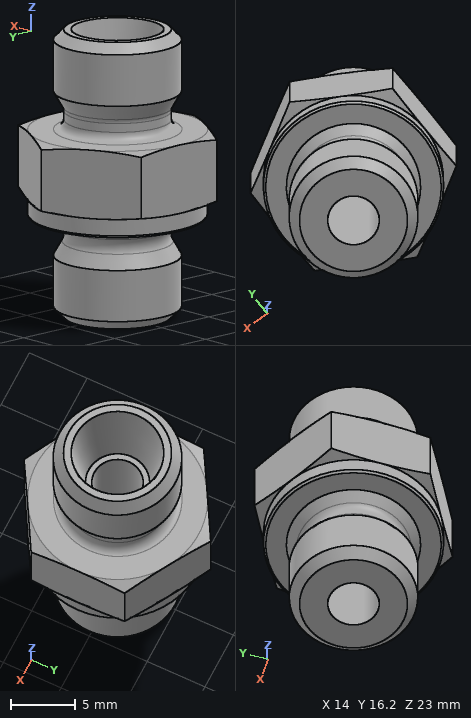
import cadquery as cq
import math

total_height = 23.0
collar_bottom = 8.0
hex_bottom = 9.5
hex_top = 15.0

across_flats = 14.0
across_corners = across_flats / math.cos(math.radians(30))
hex_chamfer_angle = 15.0
envelope_margin = 0.23
collar_chamfer = 0.18

thread_radius = 10.0 / 2
groove_radius = 8.4 / 2
end_chamfer = 0.8
lower_thread_top = 4.9
upper_thread_bottom = 18.08
runout_angle = math.radians(30)
upper_blend_radius = 0.67
shoulder_fillet = thread_radius - groove_radius
lower_groove_arc = 1.01
undercut_angle = math.radians(45)

bore_diameter = 4.0
seat_bottom_radius = 5.0 / 2
seat_mouth_radius = 7.2 / 2
seat_half_angle = math.radians(12)
seat_depth = (seat_mouth_radius - seat_bottom_radius) / math.tan(seat_half_angle)


def groove_arc_point(center_z, arc_radius, angle):
    """Point on a groove-bottom arc, with the angle measured upward from the groove's narrowest level."""
    radius = groove_radius + arc_radius * (1 - math.cos(angle))
    return radius, center_z + arc_radius * math.sin(angle)


def body_of_revolution():
    """Both threaded ends, their grooves and the collar, whose cylinder continues inside the hexagon."""
    runout_end_radius = groove_arc_point(0, lower_groove_arc, -runout_angle)[0]
    runout_end_z = lower_thread_top + (thread_radius - runout_end_radius) / math.tan(runout_angle)
    lower_center_z = runout_end_z + lower_groove_arc * math.sin(runout_angle)
    undercut_start = groove_arc_point(lower_center_z, lower_groove_arc, undercut_angle)
    undercut_rise = collar_bottom - undercut_start[1]
    undercut_radius = undercut_start[0] + undercut_rise * math.tan(undercut_angle)

    blend_end_radius = groove_arc_point(0, upper_blend_radius, runout_angle)[0]
    blend_end_z = upper_thread_bottom - (thread_radius - blend_end_radius) / math.tan(runout_angle)
    blend_start_z = blend_end_z - upper_blend_radius * math.sin(runout_angle)

    fillet_mid = groove_arc_point(hex_top + shoulder_fillet, shoulder_fillet, math.radians(-45))
    collar_radius = across_flats / 2
    profile = (
        cq.Workplane("XZ")
        .moveTo(0, 0)
        .lineTo(thread_radius - end_chamfer, 0)
        .lineTo(thread_radius, end_chamfer)
        .lineTo(thread_radius, lower_thread_top)
        .lineTo(runout_end_radius, runout_end_z)
        .threePointArc((groove_radius, lower_center_z), undercut_start)
        .lineTo(undercut_radius, collar_bottom)
        .lineTo(collar_radius - collar_chamfer, collar_bottom)
        .lineTo(collar_radius, collar_bottom + collar_chamfer)
        .lineTo(collar_radius, hex_top)
        .lineTo(groove_radius + shoulder_fillet, hex_top)
        .threePointArc(fillet_mid, (groove_radius, hex_top + shoulder_fillet))
        .lineTo(groove_radius, blend_start_z)
        .threePointArc(
            groove_arc_point(blend_start_z, upper_blend_radius, runout_angle / 2),
            (blend_end_radius, blend_end_z),
        )
        .lineTo(thread_radius, upper_thread_bottom)
        .lineTo(thread_radius, total_height - end_chamfer)
        .lineTo(thread_radius - end_chamfer, total_height)
        .lineTo(0, total_height)
        .close()
    )
    return profile.revolve(360, (0, 0, 0), (0, 1, 0))


def chamfered_hexagon():
    """Hexagon with corners along Y, its corners turned down by a shallow cone at both ends."""
    hexagon = (
        cq.Workplane("XY", origin=(0, 0, hex_bottom))
        .polygon(6, across_corners)
        .extrude(hex_top - hex_bottom)
        .rotate((0, 0, 0), (0, 0, 1), 30)
    )
    envelope_radius = across_corners / 2 + envelope_margin
    face_radius = across_flats / 2
    cone_drop = (envelope_radius - face_radius) * math.tan(math.radians(hex_chamfer_angle))
    envelope = (
        cq.Workplane("XZ")
        .moveTo(0, hex_bottom)
        .lineTo(face_radius, hex_bottom)
        .lineTo(envelope_radius, hex_bottom + cone_drop)
        .lineTo(envelope_radius, hex_top - cone_drop)
        .lineTo(face_radius, hex_top)
        .lineTo(0, hex_top)
        .close()
        .revolve(360, (0, 0, 0), (0, 1, 0))
    )
    return hexagon.intersect(envelope)


def conical_seat():
    """Cutter for the tube seat, narrowing from the upper end face to the bore step."""
    seat_bottom = total_height - seat_depth
    return (
        cq.Workplane("XZ")
        .moveTo(0, seat_bottom)
        .lineTo(seat_bottom_radius, seat_bottom)
        .lineTo(seat_mouth_radius, total_height)
        .lineTo(0, total_height)
        .close()
        .revolve(360, (0, 0, 0), (0, 1, 0))
    )


bore = cq.Workplane("XY").circle(bore_diameter / 2).extrude(total_height)

result = body_of_revolution().union(chamfered_hexagon()).cut(bore).cut(conical_seat())